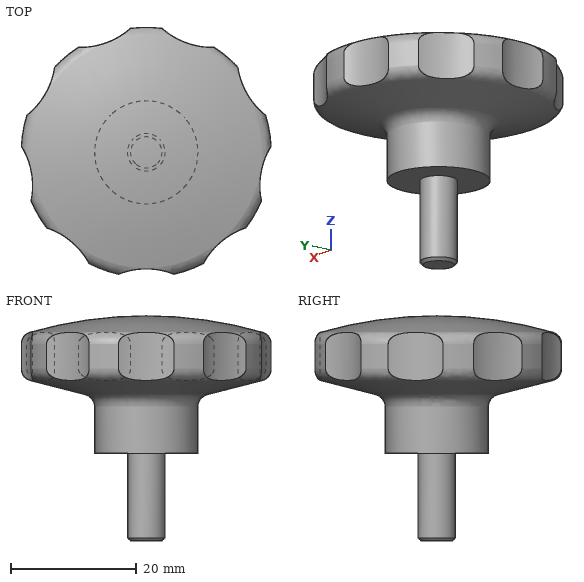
import cadquery as cq
import math

head_radius = 20.0
head_height = 22.0
dome_radius = 66.6
hub_radius = 8.25
cone_bottom_z = 9.0
rim_bottom_z = 12.0
rim_round = 2.0
hub_round = 2.0

stem_radius = 3.0
stem_length = 14.0
stem_chamfer = 0.5

flute_count = 9
flute_radius = 12.0
flute_floor_radius = 18.65
first_flute_angle = -90.0

selection_margin = 0.1


def dome_z(radius):
    """Height of the spherical top at a distance from the knob axis."""
    drop = dome_radius - math.sqrt(dome_radius**2 - radius**2)
    return head_height - drop


def circular_edge(radius, height):
    """Selector for the level circle of a given radius and height around the knob axis."""
    reach = radius + selection_margin
    low_corner = (-reach, -reach, height - selection_margin)
    high_corner = (reach, reach, height + selection_margin)
    return cq.selectors.BoxSelector(low_corner, high_corner, boundingbox=True)


def make_head():
    """Domed head and hub turned in one piece, with the rim and hub neck rounded."""
    rim_top_z = dome_z(head_radius)
    dome_mid_radius = head_radius / 2
    head = (
        cq.Workplane("XZ")
        .lineTo(hub_radius, 0)
        .lineTo(hub_radius, cone_bottom_z)
        .lineTo(head_radius, rim_bottom_z)
        .lineTo(head_radius, rim_top_z)
        .threePointArc((dome_mid_radius, dome_z(dome_mid_radius)), (0, head_height))
        .close()
        .revolve(360, (0, 0), (0, 1))
    )
    head = head.edges(circular_edge(head_radius, rim_top_z)).fillet(rim_round)
    head = head.edges(circular_edge(head_radius, rim_bottom_z)).fillet(rim_round)
    return head.edges(circular_edge(hub_radius, cone_bottom_z)).fillet(hub_round)


def cut_flutes(head):
    """Scallop the finger grips into the rim with a ring of upright cylinders."""
    centre_distance = flute_floor_radius + flute_radius
    flutes = (
        cq.Workplane("XY")
        .polarArray(centre_distance, first_flute_angle, 360, flute_count)
        .eachpoint(lambda place: cq.Solid.makeCylinder(flute_radius, head_height).moved(place))
    )
    for flute in flutes.vals():
        head = head.cut(cq.Workplane(flute))
    return head


def make_stem():
    """Round stem below the hub with a bevelled tip."""
    stem = cq.Workplane("XY").circle(stem_radius).extrude(-stem_length)
    return stem.faces("<Z").chamfer(stem_chamfer)


result = cut_flutes(make_head()).union(make_stem())